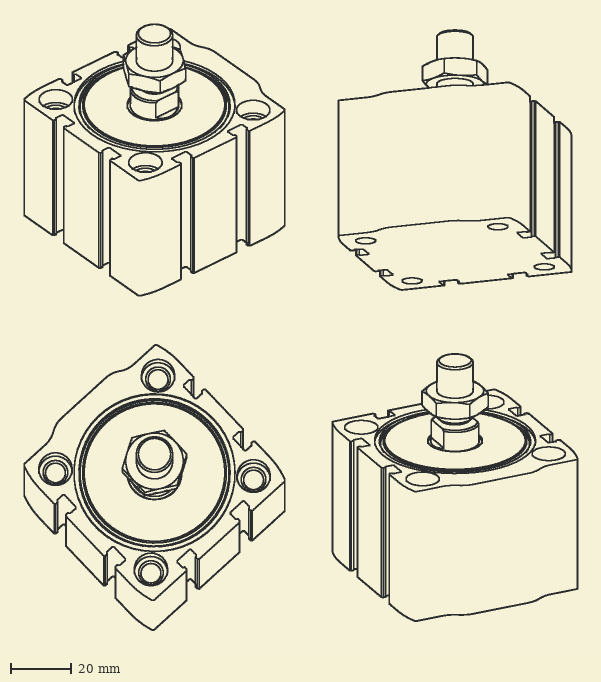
import cadquery as cq
import math

body_height = 47.0
rod_top = 76.0
collar_top = 54.0
thread_bottom = 55.9
nut_bottom = 59.0
nut_height = 6.0

housing_width = 63.0
half_width = housing_width / 2
crown_height = 3.0
crown_flat_half = 10.0
crown_foot_half = 20.0
side_flat_half = 22.2
side_curve_radius = 27.35
corner_round = 0.9

slot_offset = 12.0
slot_mouth = 4.95
slot_cavity = 6.2
slot_depth = 4.55
slot_lip = 1.4
slot_mouth_round = 0.4
slot_corner_round = 0.45

bolt_offset = 23.2
bolt_diameter = 6.6
bolt_countersink_diameter = 8.1
counterbore_diameter = 11.0
counterbore_depth = 5.25

bore_radius = 53.3 / 2
ring_inner_radius = 50.0 / 2
cover_face_radius = 23.25
cover_bevel_radius = 23.8
cover_foot_radius = 24.6
cover_bevel_drop = 0.2
ring_drop = 0.15
groove_depth = 1.15

rod_diameter = 16.0
rod_depth = 22.8
rod_chamfer = 0.5
scraper_diameter = 18.1
scraper_depth = 0.9
scraper_lip_drop = 0.3
flats_width = 12.9
flat_bottom_rise = 0.45
thread_diameter = 12.0
tip_diameter = 10.65
neck_diameter = 9.8
neck_fillet = 0.5

nut_flats = 19.0
nut_chamfer_angle = 20.0
nut_turn = 30.0


def housing_outline():
    """Outer profile: flat -Y face, bulged corners on the X faces, crown on the +Y face."""
    corner_rise = half_width - side_flat_half
    corner_inset = side_curve_radius - math.sqrt(side_curve_radius**2 - corner_rise**2)
    corner_x = half_width - corner_inset
    crown_top = half_width + crown_height
    crown_mid = ((crown_flat_half + crown_foot_half) / 2, half_width + crown_height / 2)
    return (
        cq.Workplane("XY")
        .moveTo(-corner_x, -half_width)
        .lineTo(corner_x, -half_width)
        .radiusArc((half_width, -side_flat_half), -side_curve_radius)
        .lineTo(half_width, side_flat_half)
        .radiusArc((corner_x, half_width), -side_curve_radius)
        .lineTo(crown_foot_half, half_width)
        .tangentArcPoint(crown_mid, relative=False)
        .tangentArcPoint((crown_flat_half, crown_top), relative=False)
        .lineTo(-crown_flat_half, crown_top)
        .tangentArcPoint((-crown_mid[0], crown_mid[1]), relative=False)
        .tangentArcPoint((-crown_foot_half, half_width), relative=False)
        .lineTo(-corner_x, half_width)
        .radiusArc((-half_width, side_flat_half), -side_curve_radius)
        .lineTo(-half_width, -side_flat_half)
        .radiusArc((-corner_x, -half_width), -side_curve_radius)
        .close()
    )


def housing_block():
    block = housing_outline().extrude(body_height)
    for side_x in (-1, 1):
        for side_y in (-1, 1):
            edge_finder = cq.selectors.NearestToPointSelector(
                (side_x * half_width, side_y * half_width, body_height / 2)
            )
            block = block.edges("|Z").edges(edge_finder).fillet(corner_round)
    return block


def t_slot():
    """Cutter for one T-slot opening through the -Y face, on the centre line."""
    mouth_half = slot_mouth / 2
    flare = mouth_half + slot_mouth_round
    face_y = -half_width
    round_y = face_y + slot_mouth_round
    mouth = (
        cq.Workplane("XY")
        .moveTo(-flare, face_y)
        .lineTo(flare, face_y)
        .radiusArc((mouth_half, round_y), -slot_mouth_round)
        .lineTo(mouth_half, face_y + slot_depth / 2)
        .lineTo(-mouth_half, face_y + slot_depth / 2)
        .lineTo(-mouth_half, round_y)
        .radiusArc((-flare, face_y), -slot_mouth_round)
        .close()
        .extrude(body_height)
    )
    cavity_length = slot_depth - slot_lip
    cavity = (
        cq.Workplane("XY")
        .center(0, face_y + slot_lip + cavity_length / 2)
        .rect(slot_cavity, cavity_length)
        .extrude(body_height)
        .edges("|Z")
        .fillet(slot_corner_round)
    )
    return mouth.union(cavity)


def bolt_hole():
    """Cutter for one counterbored and countersunk through hole, on the Z axis."""
    counterbore_floor = body_height - counterbore_depth
    countersink_radius = bolt_countersink_diameter / 2
    countersink_depth = countersink_radius - bolt_diameter / 2
    return (
        cq.Workplane("XZ")
        .moveTo(0, 0)
        .lineTo(bolt_diameter / 2, 0)
        .lineTo(bolt_diameter / 2, counterbore_floor - countersink_depth)
        .lineTo(countersink_radius, counterbore_floor)
        .lineTo(counterbore_diameter / 2, counterbore_floor)
        .lineTo(counterbore_diameter / 2, body_height)
        .lineTo(0, body_height)
        .close()
        .revolve()
    )


def cover_groove():
    """Cutter for the groove around the end cover, with a sloping ring at its outer side."""
    return (
        cq.Workplane("XZ")
        .moveTo(cover_face_radius, body_height)
        .lineTo(cover_bevel_radius, body_height - cover_bevel_drop)
        .lineTo(cover_foot_radius, body_height - groove_depth)
        .lineTo(ring_inner_radius, body_height - groove_depth)
        .lineTo(ring_inner_radius, body_height - ring_drop)
        .lineTo(bore_radius, body_height - groove_depth)
        .lineTo(bore_radius, body_height)
        .close()
        .revolve(360, (0, 0), (0, 1))
    )


def rod_hole():
    """Cutter for the blind rod hole, with the conical scraper lip at its mouth."""
    return (
        cq.Workplane("XZ")
        .moveTo(0, body_height - rod_depth)
        .lineTo(rod_diameter / 2, body_height - rod_depth)
        .lineTo(rod_diameter / 2, body_height - scraper_lip_drop)
        .lineTo(scraper_diameter / 2, body_height - scraper_depth)
        .lineTo(scraper_diameter / 2, body_height)
        .lineTo(0, body_height)
        .close()
        .revolve()
    )


def make_housing():
    housing = housing_block()
    for face_angle in (-90, 0, 90):
        for offset in (-slot_offset, slot_offset):
            slot = t_slot().translate((offset, 0, 0)).rotate((0, 0, 0), (0, 0, 1), face_angle)
            housing = housing.cut(slot)
    for x in (-bolt_offset, bolt_offset):
        for y in (-bolt_offset, bolt_offset):
            housing = housing.cut(bolt_hole().translate((x, y, 0)))
    return housing.cut(cover_groove()).cut(rod_hole())


def flat_cutter(side):
    """Cutter for one wrench flat, running out through a slope at its lower end."""
    rod_radius = rod_diameter / 2
    return (
        cq.Workplane("XZ")
        .moveTo(side * flats_width / 2, body_height + flat_bottom_rise)
        .lineTo(side * rod_radius, body_height - scraper_lip_drop)
        .lineTo(side * rod_radius, collar_top)
        .lineTo(side * flats_width / 2, collar_top)
        .close()
        .extrude(rod_radius, both=True)
    )


def make_rod():
    rod_radius = rod_diameter / 2
    neck_radius = neck_diameter / 2
    thread_radius = thread_diameter / 2
    tip_radius = tip_diameter / 2
    rod = (
        cq.Workplane("XZ")
        .moveTo(0, body_height - rod_depth)
        .lineTo(rod_radius, body_height - rod_depth)
        .lineTo(rod_radius, collar_top - rod_chamfer)
        .lineTo(rod_radius - rod_chamfer, collar_top)
        .lineTo(neck_radius + neck_fillet, collar_top)
        .radiusArc((neck_radius, collar_top + neck_fillet), neck_fillet)
        .lineTo(neck_radius, thread_bottom - (thread_radius - neck_radius))
        .lineTo(thread_radius, thread_bottom)
        .lineTo(thread_radius, rod_top - (thread_radius - tip_radius))
        .lineTo(tip_radius, rod_top)
        .lineTo(0, rod_top)
        .close()
        .revolve()
    )
    for side in (-1, 1):
        rod = rod.cut(flat_cutter(side))
    return rod


def make_nut():
    """Hexagon nut with two corners on the Y axis and both ends chamfered."""
    flat_radius = nut_flats / 2
    corner_radius = flat_radius / math.cos(math.pi / 6)
    chamfer_drop = (corner_radius - flat_radius) * math.tan(math.radians(nut_chamfer_angle))
    hexagon = (
        cq.Workplane("XY")
        .polygon(6, 2 * corner_radius)
        .extrude(nut_height)
        .rotate((0, 0, 0), (0, 0, 1), nut_turn)
    )
    envelope = (
        cq.Workplane("XZ")
        .moveTo(thread_diameter / 2, 0)
        .lineTo(flat_radius, 0)
        .lineTo(corner_radius, chamfer_drop)
        .lineTo(corner_radius, nut_height - chamfer_drop)
        .lineTo(flat_radius, nut_height)
        .lineTo(thread_diameter / 2, nut_height)
        .close()
        .revolve(360, (0, 0), (0, 1))
    )
    return hexagon.intersect(envelope).translate((0, 0, nut_bottom))


housing = make_housing()
rod = make_rod()
nut = make_nut()

result = cq.Compound.makeCompound([body.solids().val() for body in (housing, rod, nut)])